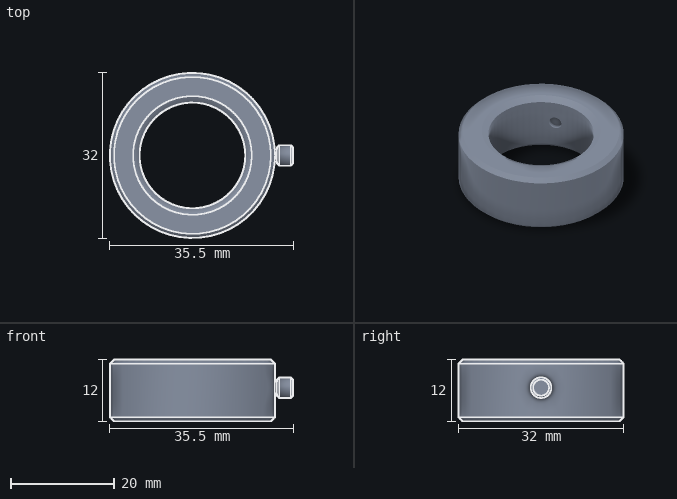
import cadquery as cq

RING_DIAMETER = 32.0
RING_HEIGHT = 12.0
BORE_DIAMETER = 20.4
RIM_CHAMFER = 0.8
BORE_CHAMFER_WIDTH = 1.28
TOP_BORE_CHAMFER_DEPTH = 0.75
BOTTOM_BORE_CHAMFER_DEPTH = BORE_CHAMFER_WIDTH

OVERALL_LENGTH = 35.5
SCREW_HEIGHT = 0.55
HEAD_DIAMETER = 4.0
HEAD_LENGTH = 3.15
HEAD_CHAMFER = 0.45
SHANK_DIAMETER = 2.5
TIP_SETBACK = 0.8

RING_RADIUS = RING_DIAMETER / 2
BORE_RADIUS = BORE_DIAMETER / 2
HEAD_END_X = OVERALL_LENGTH - RING_RADIUS
HEAD_START_X = HEAD_END_X - HEAD_LENGTH
TIP_X = BORE_RADIUS + TIP_SETBACK


def rod_along_x(start_x, end_x, diameter):
    """Round rod on the screw axis between two X positions."""
    return (
        cq.Workplane("YZ", origin=(start_x, 0, SCREW_HEIGHT))
        .circle(diameter / 2)
        .extrude(end_x - start_x)
    )


def make_ring():
    """Revolved ring, chamfered outside and in the bore, with one radial hole for the screw."""
    top_z = RING_HEIGHT / 2
    bottom_z = -top_z
    half_section = [
        (BORE_RADIUS, bottom_z + BOTTOM_BORE_CHAMFER_DEPTH),
        (BORE_RADIUS + BORE_CHAMFER_WIDTH, bottom_z),
        (RING_RADIUS - RIM_CHAMFER, bottom_z),
        (RING_RADIUS, bottom_z + RIM_CHAMFER),
        (RING_RADIUS, top_z - RIM_CHAMFER),
        (RING_RADIUS - RIM_CHAMFER, top_z),
        (BORE_RADIUS + BORE_CHAMFER_WIDTH, top_z),
        (BORE_RADIUS, top_z - TOP_BORE_CHAMFER_DEPTH),
    ]
    body = cq.Workplane("XZ").polyline(half_section).close().revolve(360, (0, 0), (0, 1))
    return body.cut(rod_along_x(0, HEAD_START_X, SHANK_DIAMETER))


def make_screw():
    """Screw with a head chamfered at both ends and a plain shank."""
    head = rod_along_x(HEAD_START_X, HEAD_END_X, HEAD_DIAMETER)
    head = head.faces("<X or >X").chamfer(HEAD_CHAMFER)
    shank = rod_along_x(TIP_X, HEAD_START_X, SHANK_DIAMETER)
    return head.union(shank)


ring = make_ring()
screw = make_screw()
result = cq.Compound.makeCompound([ring.val(), screw.val()])